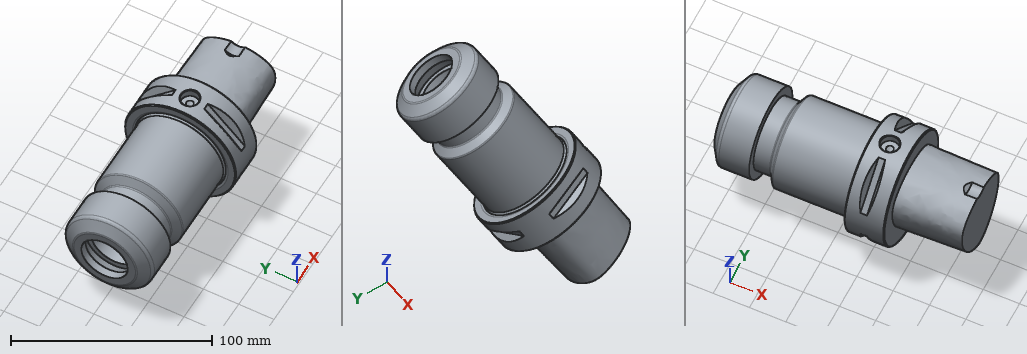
import cadquery as cq
import math

NUT_END = 22.6
BODY_START = 31.9
FLANGE_START = 78.0
FLANGE_END = 100.0
LENGTH = 138.0

NOSE_DIAMETER = 35.9
BODY_DIAMETER = 50.0
NECK_DIAMETER = 40.0
FLANGE_DIAMETER = 63.0
BEVEL_ANGLE = 57.0
NOSE_ROUND = 1.7
NUT_ROUND = 2.3
BODY_ROUND = 0.8
FLANGE_CHAMFER = 0.5

RELIEF_START = 77.1
RELIEF_DEPTH = 0.4
RELIEF_FLOOR_DIAMETER = 51.6
RELIEF_DIAMETER = 54.2

BORE_DIAMETER = 26.2
LIP_LENGTH = 4.4
SOCKET_END_DIAMETER = 22.4
UNDERCUT_DEPTH = 10.2
UNDERCUT_DIAMETER = 32.8
SOCKET_TAPER = 8.0
SOCKET_POINT_HALF_ANGLE = 45.0

SHANK_ROOT_RADIUS = 22.1
SHANK_END_RADIUS = 21.1
LOBE_HEIGHT = 1.5
LOBE_END_HEIGHT = 1.7
LOBES = 3
POINTS_PER_LOBE = 16

NOTCH_WIDTH = 8.3
NOTCH_SAG = 1.7
NOTCH_LENGTH = 6.5
NOTCH_POINT_ANGLE = 39.0

FLANGE_FEATURE_X = 88.2
SLOT_FLOOR_WIDTH = 3.6
SLOT_DEPTH = 3.7
SLOT_FLANK_ANGLE = 30.0
POCKET_DIAMETER = 10.0
POCKET_DEPTH = 4.8
POCKET_CHAMFER = 0.35
CENTRE_DRILL_DIAMETER = 4.0
DRILL_POINT_HALF_ANGLE = 59.0

OVERCUT = 1.4
SELECT_MARGIN = 0.1
SLOT_ANGLES = (45, 135, 225, 315)


def revolve_x(points):
    """Revolve an (x, radius) polygon about the X axis."""
    return cq.Workplane("XY").polyline(points).close().revolve(360, (0, 0, 0), (1, 0, 0))


def tangent(degrees):
    return math.tan(math.radians(degrees))


def make_holder():
    body_radius = BODY_DIAMETER / 2
    nose_radius = NOSE_DIAMETER / 2
    neck_radius = NECK_DIAMETER / 2
    flange_radius = FLANGE_DIAMETER / 2

    nut_bevel = (body_radius - nose_radius) / tangent(BEVEL_ANGLE)
    nut = revolve_x([
        (0, 0),
        (0, nose_radius),
        (nut_bevel, body_radius),
        (NUT_END, body_radius),
        (NUT_END, 0),
    ])
    nut = nut.edges(cq.selectors.RadiusNthSelector(0)).fillet(NOSE_ROUND)
    nut = nut.edges(cq.selectors.BoxSelector(
        (nut_bevel - SELECT_MARGIN, -flange_radius, -flange_radius),
        (nut_bevel + SELECT_MARGIN, flange_radius, flange_radius),
    )).fillet(NUT_ROUND)

    body_bevel = (body_radius - neck_radius) / tangent(BEVEL_ANGLE)
    body = revolve_x([
        (NUT_END, 0),
        (NUT_END, neck_radius),
        (BODY_START, neck_radius),
        (BODY_START + body_bevel, body_radius),
        (RELIEF_START, body_radius),
        (FLANGE_START + RELIEF_DEPTH, RELIEF_FLOOR_DIAMETER / 2),
        (FLANGE_START + RELIEF_DEPTH, 0),
    ])
    body = body.edges(cq.selectors.BoxSelector(
        (BODY_START - SELECT_MARGIN, -flange_radius, -flange_radius),
        (BODY_START + body_bevel + SELECT_MARGIN, flange_radius, flange_radius),
    )).edges("%CIRCLE").fillet(BODY_ROUND)

    flange = cq.Workplane("YZ", origin=(FLANGE_START, 0, 0)).circle(flange_radius)
    flange = flange.extrude(FLANGE_END - FLANGE_START).edges().chamfer(FLANGE_CHAMFER)
    return nut.union(body).union(flange)


def make_relief():
    return revolve_x([
        (RELIEF_START, BODY_DIAMETER / 2),
        (FLANGE_START + RELIEF_DEPTH, RELIEF_FLOOR_DIAMETER / 2),
        (FLANGE_START, RELIEF_DIAMETER / 2),
        (RELIEF_START, RELIEF_DIAMETER / 2),
    ])


def make_bore():
    """Straight mouth flaring to an undercut, then a tapered socket with a conical floor."""
    bore_radius = BORE_DIAMETER / 2
    socket_end_radius = SOCKET_END_DIAMETER / 2
    socket_depth = UNDERCUT_DEPTH + (bore_radius - socket_end_radius) / tangent(SOCKET_TAPER)
    point_length = socket_end_radius / tangent(SOCKET_POINT_HALF_ANGLE)
    return revolve_x([
        (0, 0),
        (0, bore_radius),
        (LIP_LENGTH, bore_radius),
        (UNDERCUT_DEPTH, UNDERCUT_DIAMETER / 2),
        (UNDERCUT_DEPTH, bore_radius),
        (socket_depth, socket_end_radius),
        (socket_depth + point_length, 0),
    ])


def lobed_outline(mean_radius, lobe):
    """Points of a constant-width outline with support r + e*cos(n*angle), one lobe towards -Z."""
    points = []
    count = LOBES * POINTS_PER_LOBE
    for i in range(count):
        angle = 2 * math.pi * i / count
        reach = mean_radius + lobe * math.cos(LOBES * angle)
        slope = -LOBES * lobe * math.sin(LOBES * angle)
        along_lobe = reach * math.cos(angle) - slope * math.sin(angle)
        across_lobe = reach * math.sin(angle) + slope * math.cos(angle)
        points.append((across_lobe, -along_lobe))
    return points


def make_shank():
    return (
        cq.Workplane("YZ", origin=(FLANGE_END, 0, 0))
        .spline(lobed_outline(SHANK_ROOT_RADIUS, LOBE_HEIGHT), periodic=True).close()
        .workplane(offset=LENGTH - FLANGE_END)
        .spline(lobed_outline(SHANK_END_RADIUS, LOBE_END_HEIGHT), periodic=True).close()
        .loft(ruled=True)
    )


def make_notch():
    radius = (NOTCH_WIDTH**2 / 4 + NOTCH_SAG**2) / (2 * NOTCH_SAG)
    shank_top = SHANK_END_RADIUS - LOBE_END_HEIGHT
    axis_height = shank_top - NOTCH_SAG + radius
    notch_start = LENGTH - NOTCH_LENGTH
    return revolve_x([
        (notch_start - radius / tangent(NOTCH_POINT_ANGLE), 0),
        (notch_start, radius),
        (LENGTH + OVERCUT, radius),
        (LENGTH + OVERCUT, 0),
    ]).translate((0, 0, axis_height))


def make_slot():
    """Straight V-flanked slot across the top of the flange, running along Y."""
    flange_radius = FLANGE_DIAMETER / 2
    floor_height = flange_radius - SLOT_DEPTH
    half_floor = SLOT_FLOOR_WIDTH / 2
    half_top = half_floor + (SLOT_DEPTH + OVERCUT) * tangent(SLOT_FLANK_ANGLE)
    top_height = flange_radius + OVERCUT
    return (
        cq.Workplane("XZ")
        .polyline([
            (FLANGE_FEATURE_X - half_floor, floor_height),
            (FLANGE_FEATURE_X + half_floor, floor_height),
            (FLANGE_FEATURE_X + half_top, top_height),
            (FLANGE_FEATURE_X - half_top, top_height),
        ])
        .close()
        .extrude(flange_radius, both=True)
    )


def make_pocket():
    """Chamfered round pocket with a centre-drill dimple, entering from +Z."""
    top = FLANGE_DIAMETER / 2
    radius = POCKET_DIAMETER / 2
    floor_height = top - POCKET_DEPTH
    dimple_radius = CENTRE_DRILL_DIAMETER / 2
    dimple_depth = dimple_radius / tangent(DRILL_POINT_HALF_ANGLE)
    profile = cq.Workplane("XZ").polyline([
        (0, floor_height - dimple_depth),
        (dimple_radius, floor_height),
        (radius, floor_height),
        (radius, top - 2 * POCKET_CHAMFER),
        (radius + POCKET_CHAMFER, top - POCKET_CHAMFER),
        (radius + POCKET_CHAMFER, top + OVERCUT),
        (0, top + OVERCUT),
    ]).close()
    return profile.revolve(360, (0, 0, 0), (0, 1, 0)).translate((FLANGE_FEATURE_X, 0, 0))


result = make_holder().union(make_shank())
result = result.cut(make_relief()).cut(make_bore()).cut(make_notch()).cut(make_pocket())
for slot_angle in SLOT_ANGLES:
    result = result.cut(make_slot().rotate((0, 0, 0), (1, 0, 0), slot_angle))